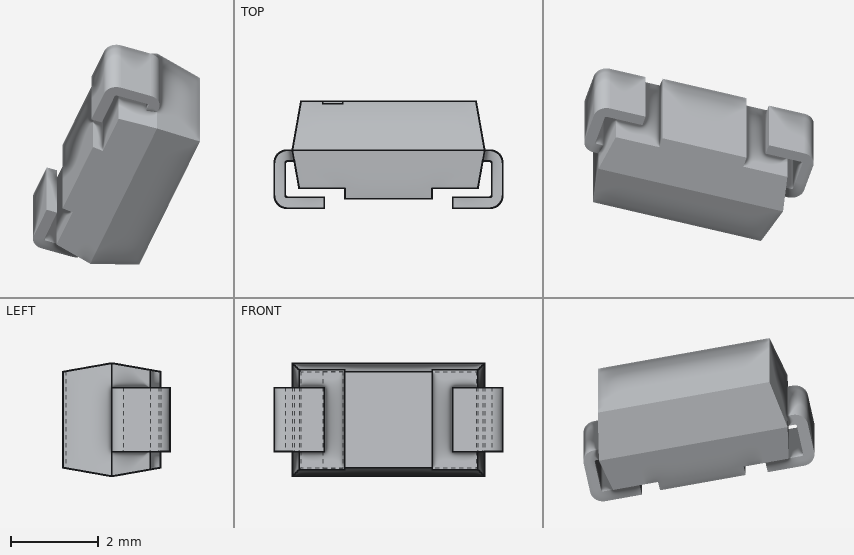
import cadquery as cq
import math


housing_length = 4.38
housing_height = 2.58
housing_half_depth = 1.115
draft_angle = 10
pad_length = 1.985
step_depth = 0.24

overall_length = 5.2
lead_thickness = 0.255
lead_width = 1.455
lead_depth = 1.325
lead_outer_radius = 0.295
lead_inner_radius = lead_outer_radius - lead_thickness
foot_end_x = 1.46

band_width = 0.465
band_depth = 0.06
band_center_x = -1.27


def make_tapered_half(direction):
    """Half of the housing, narrowing from the parting plane; direction is +1 or -1 along Y."""
    inset = housing_half_depth * math.tan(math.radians(draft_angle))
    return (
        cq.Workplane("XZ")
        .rect(housing_length, housing_height)
        .workplane(offset=-direction * housing_half_depth)
        .rect(housing_length - 2 * inset, housing_height - 2 * inset)
        .loft(ruled=True)
    )


def make_full_housing():
    """Two tapered halves, with the ends of the mounting side cut back to leave the pad."""
    housing = make_tapered_half(1).union(make_tapered_half(-1))
    end_length = (housing_length - pad_length) / 2
    for side in (-1, 1):
        end_cut = cq.Workplane("XY").box(end_length, step_depth, housing_height).translate(
            (side * (pad_length + end_length) / 2, -housing_half_depth + step_depth / 2, 0)
        )
        housing = housing.cut(end_cut)
    return housing


def make_polarity_band(full_housing):
    """Thin inlay across the back face, following the housing's tapered sides."""
    strip = cq.Workplane("XY").box(band_width, band_depth, housing_height).translate(
        (band_center_x, housing_half_depth - band_depth / 2, 0)
    )
    return full_housing.intersect(strip)


def make_lead(side, full_housing):
    """C-shaped strip from the housing's end wall around to the foot; side is +1 or -1 along X."""
    outer_x = side * overall_length / 2
    inner_x = outer_x - side * lead_thickness
    root_x = side * (housing_length / 2 - lead_thickness)
    foot_x = side * foot_end_x
    strip = (
        cq.Workplane("XY")
        .moveTo(root_x, 0)
        .lineTo(outer_x, 0)
        .lineTo(outer_x, -lead_depth)
        .lineTo(foot_x, -lead_depth)
        .lineTo(foot_x, -lead_depth + lead_thickness)
        .lineTo(inner_x, -lead_depth + lead_thickness)
        .lineTo(inner_x, -lead_thickness)
        .lineTo(root_x, -lead_thickness)
        .close()
        .extrude(lead_width / 2, both=True)
    )
    outer_face = ">X" if side > 0 else "<X"
    strip = strip.edges("|Z").edges(outer_face).fillet(lead_outer_radius)
    strip = strip.edges("|Z").edges(
        cq.selectors.BoxSelector(
            (inner_x - lead_inner_radius, -lead_depth, -lead_width),
            (inner_x + lead_inner_radius, 0, lead_width),
        )
    ).fillet(lead_inner_radius)
    return strip.cut(full_housing)


uncut_housing = make_full_housing()
polarity_band = make_polarity_band(uncut_housing)
housing = uncut_housing.cut(polarity_band)
leads = [make_lead(side, uncut_housing) for side in (-1, 1)]

result = cq.Compound.makeCompound(
    [housing.solids().val(), polarity_band.solids().val(), *[lead.solids().val() for lead in leads]]
)